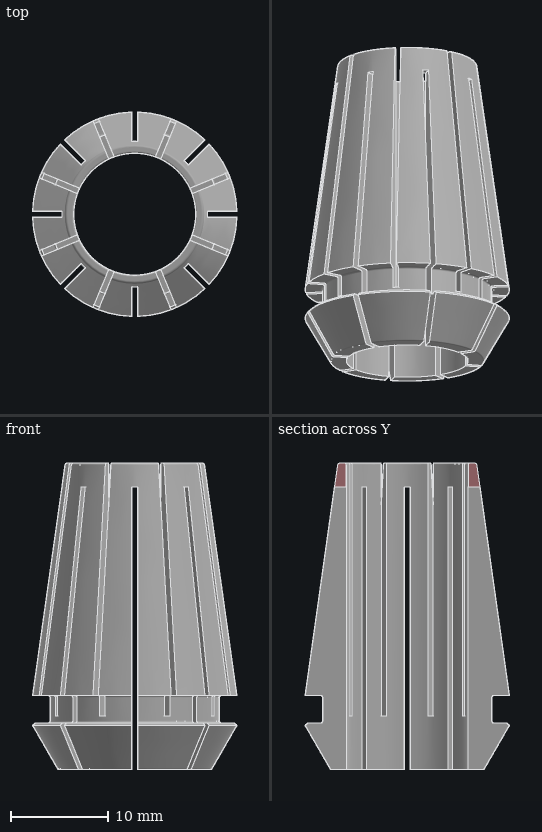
import cadquery as cq
import math

total_length = 31.5
outer_radius = 10.5
bore_radius = 6.25
taper_angle = 8.0
nose_angle = 30.0

nose_edge_z = 4.55
flange_top_z = 4.8
taper_base_z = 7.6
groove_radius = 8.7
flange_chamfer_width = 0.3

groove_fillet = 0.2
top_fillet = 0.3
nose_fillet = 0.2
bore_fillet = 0.2

slots_per_set = 8
slot_width = 0.6
slot_pitch = 360.0 / slots_per_set
nose_slot_end_z = 29.0
top_slot_end_z = 5.5
slot_overrun = 1.0

nose_radius = outer_radius - nose_edge_z * math.tan(math.radians(nose_angle))
top_radius = outer_radius - (total_length - taper_base_z) * math.tan(math.radians(taper_angle))


def ring_edge(body, radius, z):
    """Outermost circular edge within the given radius at height z."""
    margin = 0.01
    reach = radius + margin
    low_corner = (-reach, -reach, z - margin)
    high_corner = (reach, reach, z + margin)
    box = cq.selectors.BoxSelector(low_corner, high_corner, boundingbox=True)
    return body.edges(box).edges(cq.selectors.RadiusNthSelector(-1))


def collet_body():
    """Nose cone, extractor groove and long taper as one revolved body with a through bore."""
    body = (
        cq.Workplane("XZ")
        .moveTo(bore_radius, 0)
        .lineTo(nose_radius, 0)
        .lineTo(outer_radius, nose_edge_z)
        .lineTo(outer_radius - flange_chamfer_width, flange_top_z)
        .lineTo(groove_radius, flange_top_z)
        .lineTo(groove_radius, taper_base_z)
        .lineTo(outer_radius, taper_base_z)
        .lineTo(top_radius, total_length)
        .lineTo(bore_radius, total_length)
        .close()
        .revolve(360, (0, 0, 0), (0, 1, 0))
    )
    body = ring_edge(body, groove_radius, flange_top_z).fillet(groove_fillet)
    body = ring_edge(body, groove_radius, taper_base_z).fillet(groove_fillet)
    body = ring_edge(body, nose_radius, 0).fillet(nose_fillet)
    body = ring_edge(body, top_radius, total_length).fillet(top_fillet)
    return ring_edge(body, bore_radius, total_length).fillet(bore_fillet)


def slot_set(start_z, end_z, first_angle):
    """Radial slot cutters reaching from the axis past the outside, evenly spaced about Z."""
    reach = outer_radius + slot_overrun
    blade = (
        cq.Workplane("XY", origin=(0, 0, start_z))
        .center(reach / 2, 0)
        .rect(reach, slot_width)
        .extrude(end_z - start_z)
    )
    return [
        blade.rotate((0, 0, 0), (0, 0, 1), first_angle + index * slot_pitch)
        for index in range(slots_per_set)
    ]


result = collet_body()
nose_slots = slot_set(-slot_overrun, nose_slot_end_z, 0)
top_slots = slot_set(top_slot_end_z, total_length + slot_overrun, slot_pitch / 2)
for cutter in nose_slots + top_slots:
    result = result.cut(cutter)